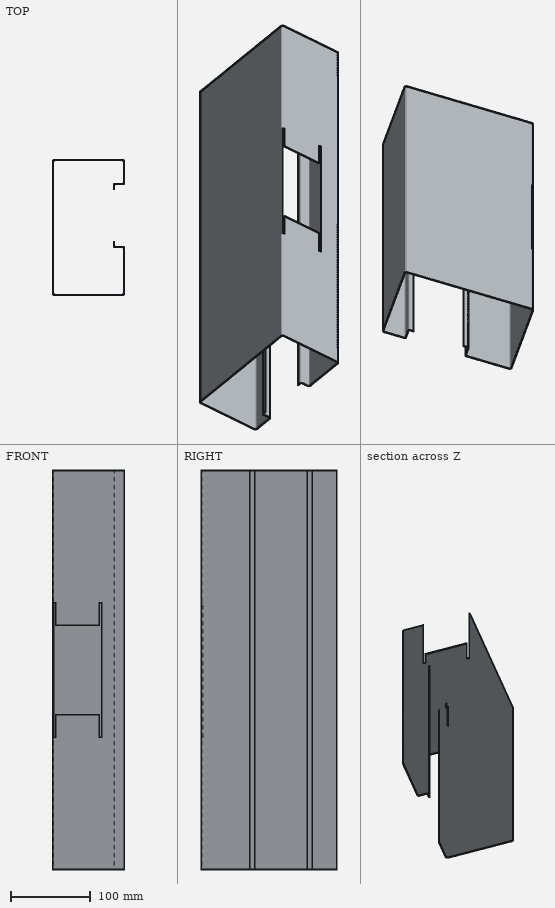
import cadquery as cq

WIDTH = 90.0
DEPTH = 170.0
LENGTH = 500.0
SHEET = 1.0
BOX_BEND = 3.0
RETURN_BEND = 2.0
LOWER_FACE = 61.0
UPPER_FACE = 31.0
RETURN_DEPTH = 13.5
LIP_HEIGHT = 7.0

WINDOW_X_START = 1.25
WINDOW_WIDTH = 60.5
WINDOW_HEIGHT = 112.5
SLOT_WIDTH = 3.0
SLOT_SPAN = 169.0


def round_edges(body, corners, radius):
    """Round the full-length edges standing at the given (x, y) corners."""
    for x, y in corners:
        edge = cq.selectors.NearestToPointSelector((x, y, LENGTH / 2))
        body = body.edges("|Z").edges(edge).fillet(radius)
    return body


def round_bends(body, outside, inside, outside_radius):
    """Round both faces of the sheet at a set of bends."""
    body = round_edges(body, outside, outside_radius)
    return round_edges(body, inside, outside_radius - SHEET)


def folded_sheet():
    """C-shaped section with lipped returns, extruded along Z."""
    lower_out = LOWER_FACE
    lower_in = lower_out - SHEET
    upper_out = DEPTH - UPPER_FACE
    upper_in = upper_out + SHEET
    lower_lip_end = lower_in + LIP_HEIGHT
    upper_lip_end = upper_in - LIP_HEIGHT
    inner_x = WIDTH - SHEET
    inner_y = DEPTH - SHEET
    lip_x = WIDTH - RETURN_DEPTH
    lip_inner_x = lip_x + SHEET

    box_outside = [(WIDTH, 0), (0, 0), (0, DEPTH), (WIDTH, DEPTH)]
    box_inside = [(inner_x, inner_y), (SHEET, inner_y), (SHEET, SHEET), (inner_x, SHEET)]
    outline = [
        (WIDTH, lower_out),
        *box_outside,
        (WIDTH, upper_out),
        (lip_inner_x, upper_out),
        (lip_inner_x, upper_lip_end),
        (lip_x, upper_lip_end),
        (lip_x, upper_in),
        (inner_x, upper_in),
        *box_inside,
        (inner_x, lower_in),
        (lip_x, lower_in),
        (lip_x, lower_lip_end),
        (lip_inner_x, lower_lip_end),
        (lip_inner_x, lower_out),
    ]
    body = cq.Workplane("XY").polyline(outline).close().extrude(LENGTH)

    body = round_bends(body, box_outside, box_inside, BOX_BEND)
    for face_out, face_in in ((lower_out, lower_in), (upper_out, upper_in)):
        outside = [(WIDTH, face_out), (lip_x, face_in)]
        inside = [(inner_x, face_in), (lip_inner_x, face_out)]
        body = round_bends(body, outside, inside, RETURN_BEND)
    return body


def wall_cutter(x_start, width, height):
    """Block through the -Y wall and its bend, centred along the length of the profile."""
    block = cq.Workplane("XY").box(width, BOX_BEND, height, centered=(False, False, True))
    return block.translate((x_start, 0, LENGTH / 2))


def cut_window(body):
    """Window flanked by two slots that run past it at both ends."""
    right_slot_x = WINDOW_X_START + WINDOW_WIDTH - SLOT_WIDTH
    body = body.cut(wall_cutter(WINDOW_X_START, WINDOW_WIDTH, WINDOW_HEIGHT))
    for slot_x in (WINDOW_X_START, right_slot_x):
        body = body.cut(wall_cutter(slot_x, SLOT_WIDTH, SLOT_SPAN))
    return body


result = cut_window(folded_sheet())